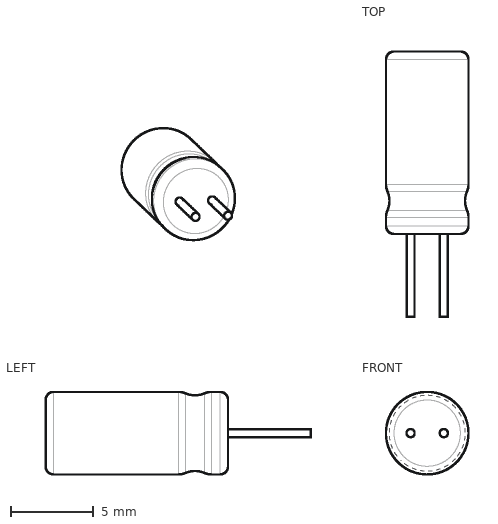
import cadquery as cq

total_length = 16.0
can_diameter = 5.0
lead_length = 5.0
lead_diameter = 0.5
lead_spacing = 2.0
rim_radius = 0.5

groove_center = 2.0
groove_width = 2.0
groove_depth = 0.2

can_length = total_length - lead_length
can_radius = can_diameter / 2
groove_start = groove_center - groove_width / 2
groove_end = groove_center + groove_width / 2

concave_half_width = 0.58
convex_width = groove_width / 2 - concave_half_width
joint_radius = can_radius - groove_depth * convex_width / (groove_width / 2)
bottom_radius = can_radius - groove_depth


def make_can():
    """Revolve the can half-profile, then round both end rims."""
    profile = (
        cq.Workplane("XY")
        .lineTo(can_radius, 0)
        .lineTo(can_radius, groove_start)
        .tangentArcPoint((joint_radius, groove_start + convex_width), relative=False)
        .threePointArc(
            (bottom_radius, groove_center),
            (joint_radius, groove_center + concave_half_width),
        )
        .tangentArcPoint((can_radius, groove_end), relative=False)
        .lineTo(can_radius, can_length)
        .lineTo(0, can_length)
        .close()
    )
    can = profile.revolve(360, (0, 0, 0), (0, 1, 0))
    return can.faces("<Y or >Y").edges().fillet(rim_radius)


def make_leads():
    """Two straight round wires leaving the flat end of the can."""
    return (
        cq.Workplane("XZ")
        .pushPoints([(-lead_spacing / 2, 0), (lead_spacing / 2, 0)])
        .circle(lead_diameter / 2)
        .extrude(lead_length)
    )


result = make_can().union(make_leads())